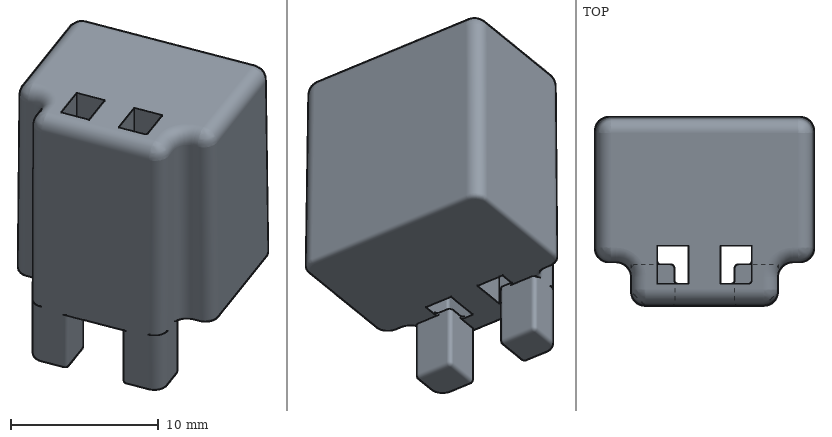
import cadquery as cq
import math

WIDTH = 14.85
DEPTH = 12.8
HEIGHT = 19.91

BODY_BOTTOM = 4.45
PARTING_HEIGHT = 4.64
DRAFT_ANGLE = 0.5
NECK_WIDTH = 9.95
NECK_DEPTH = 2.95
BODY_RADIUS = 1.0
BOTTOM_RADIUS = 0.3

LEG_DEPTH = 2.83
LEG_GAP = 4.05
LEG_WIDTH = (NECK_WIDTH - LEG_GAP) / 2
LEG_RADIUS = 0.3

SLOT_WIDTH = 2.1
SLOT_DEPTH = 2.55
SLOT_FRONT_WALL = 1.51
SLOT_INNER_X = 1.1
SLOT_CORNER_RADIUS = 0.2

SIDES = (-1, 1)


def drafted_block():
    """Block whose front, back, left and right walls lean inward; full size at the parting level."""
    slope = math.tan(math.radians(DRAFT_ANGLE))
    flare = (PARTING_HEIGHT - BODY_BOTTOM) * slope
    inset = (HEIGHT - PARTING_HEIGHT) * slope
    half = WIDTH / 2
    width_profile = (
        cq.Workplane("XZ", origin=(0, -flare, 0))
        .polyline([
            (-half - flare, BODY_BOTTOM),
            (half + flare, BODY_BOTTOM),
            (half - inset, HEIGHT),
            (inset - half, HEIGHT),
        ])
        .close()
        .extrude(-DEPTH - 2 * flare)
    )
    depth_profile = (
        cq.Workplane("YZ")
        .polyline([
            (-flare, BODY_BOTTOM),
            (DEPTH + flare, BODY_BOTTOM),
            (DEPTH - inset, HEIGHT),
            (inset, HEIGHT),
        ])
        .close()
        .extrude(WIDTH, both=True)
    )
    return width_profile.intersect(depth_profile)


def t_prism():
    """Straight T-shaped column: narrow neck in front, more than full width behind the shoulders."""
    neck = cq.Workplane("XY").box(NECK_WIDTH, 2 * DEPTH, HEIGHT, centered=(True, True, False))
    main = (
        cq.Workplane("XY", origin=(0, NECK_DEPTH, 0))
        .box(2 * WIDTH, DEPTH, HEIGHT, centered=(True, False, False))
    )
    return neck.union(main)


def front_block(width, bottom, height):
    """Straight block as deep as the legs, starting at the front face and centred on X."""
    return (
        cq.Workplane("XY", origin=(0, 0, bottom))
        .box(width, LEG_DEPTH, height, centered=(True, False, False))
    )


def housing():
    """Drafted T-shaped housing with rounded edges; the front of the neck keeps a sharp bottom rim."""
    body = drafted_block().intersect(t_prism())
    body = body.edges("not #Z").fillet(BODY_RADIUS)
    body = body.faces(">Z").edges().fillet(BODY_RADIUS)
    drafted_root = body.intersect(front_block(NECK_WIDTH, PARTING_HEIGHT, 2 * BOTTOM_RADIUS))
    straight_root = (
        front_block(NECK_WIDTH, BODY_BOTTOM, PARTING_HEIGHT - BODY_BOTTOM)
        .edges("|Z and <Y").fillet(BODY_RADIUS)
    )
    return body.faces("<Z").edges().fillet(BOTTOM_RADIUS).union(drafted_root).union(straight_root)


def leg(side):
    """Leg flush with the neck; its top is the floor that closes part of the slot."""
    center_x = side * (LEG_GAP + LEG_WIDTH) / 2
    outer, inner = (">X", "<X") if side > 0 else ("<X", ">X")
    block = front_block(LEG_WIDTH, 0, PARTING_HEIGHT).translate((center_x, 0, 0))
    block = block.edges(f"|Z and <Y and {outer}").fillet(BODY_RADIUS)
    block = block.edges(f"|Z and (>Y or {inner})").fillet(LEG_RADIUS)
    return block.faces("<Z").edges().fillet(LEG_RADIUS)


def slot_box(side, bottom, top):
    """Straight piece of a contact opening between two levels."""
    center_x = side * (SLOT_INNER_X + SLOT_WIDTH / 2)
    return (
        cq.Workplane("XY", origin=(center_x, SLOT_FRONT_WALL, bottom))
        .box(SLOT_WIDTH, SLOT_DEPTH, top - bottom, centered=(True, False, False))
    )


def slot(side):
    """Opening through the housing: a full rectangle above the leg, an L-shaped passage around the leg stub."""
    upper = slot_box(side, PARTING_HEIGHT, HEIGHT)
    if side > 0:
        upper = upper.edges("|Z and >X and <Y").fillet(SLOT_CORNER_RADIUS)
    lower = slot_box(side, BODY_BOTTOM, PARTING_HEIGHT).cut(leg(side))
    outer = ">X" if side > 0 else "<X"
    stub_corners = lower.edges("|Z").edges("<Y").edges(outer).add(lower.edges("|Z").edges(outer).edges("<Y"))
    lower = lower.newObject(stub_corners.vals()).fillet(SLOT_CORNER_RADIUS)
    return upper.union(lower)


result = housing()
for side in SIDES:
    result = result.union(leg(side))
for side in SIDES:
    result = result.cut(slot(side))